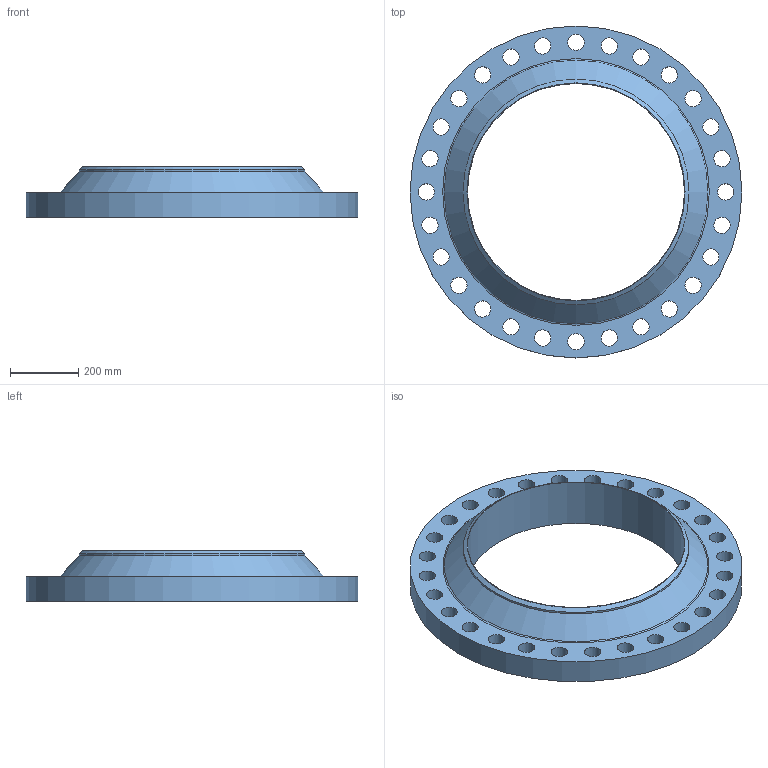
import cadquery as cq

flange_diameter = 971.55
flange_thickness = 71.4
overall_height = 147.57
bore_diameter = 635.0

bolt_circle_diameter = 876.3
bolt_hole_diameter = 47.6
bolt_hole_count = 28

hub_base_diameter = 775.0
hub_fillet_radius = 6.35
weld_end_diameter = 660.4
weld_land_height = 6.0
weld_bevel_height = 8.5
root_face_width = 1.6


def flange_body():
    """Revolved section: flat ring, conical hub and bevelled weld end."""
    bore_radius = bore_diameter / 2
    flange_radius = flange_diameter / 2
    hub_base_radius = hub_base_diameter / 2
    weld_radius = weld_end_diameter / 2
    land_top = overall_height - weld_bevel_height
    section = (
        cq.Workplane("XZ")
        .moveTo(bore_radius, 0)
        .lineTo(flange_radius, 0)
        .lineTo(flange_radius, flange_thickness)
        .lineTo(hub_base_radius, flange_thickness)
        .lineTo(weld_radius, land_top - weld_land_height)
        .lineTo(weld_radius, land_top)
        .lineTo(bore_radius + root_face_width, overall_height)
        .lineTo(bore_radius, overall_height)
        .close()
    )
    body = section.revolve(360, (0, 0), (0, 1))
    hub_base_edge = cq.selectors.RadiusNthSelector(-2)
    return body.edges(hub_base_edge).fillet(hub_fillet_radius)


def bolt_holes():
    """Ring of through holes, the first one on the +X axis."""
    return (
        cq.Workplane("XY")
        .polarArray(bolt_circle_diameter / 2, 0, 360, bolt_hole_count)
        .circle(bolt_hole_diameter / 2)
        .extrude(flange_thickness)
    )


result = flange_body().cut(bolt_holes())